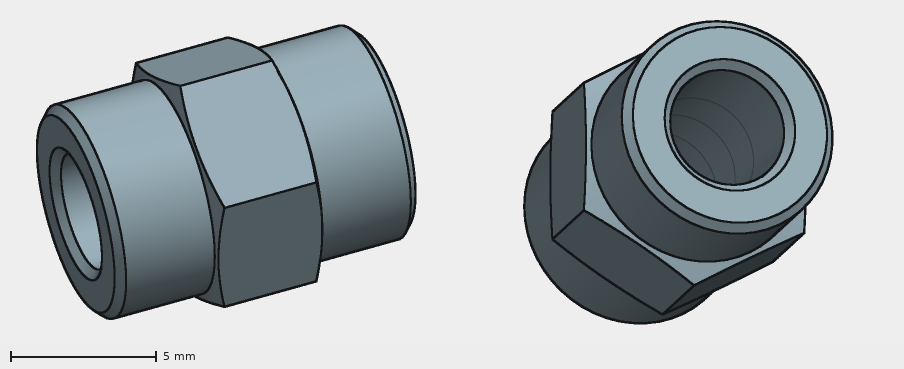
import cadquery as cq
import math

length = 11.2
body_diameter = 7.65
bore_diameter = 4.13
edge_chamfer = 0.3
hex_across_flats = 8.0
hex_length = 4.0
hex_chamfer_angle = 20.0

body_radius = body_diameter / 2
hex_across_corners = hex_across_flats / math.cos(math.radians(30))
hex_corner_radius = hex_across_corners / 2


def cylinder_along_y(diameter, height):
    """Cylinder centred on the origin with its axis along Y."""
    return cq.Workplane("XZ").circle(diameter / 2).extrude(height / 2, both=True)


def hexagon_collar():
    """Hexagon with corners on Z, turned down to cones at both ends."""
    prism = (
        cq.Workplane("XZ")
        .polygon(6, hex_across_corners)
        .extrude(hex_length / 2, both=True)
        .rotate((0, 0, 0), (0, 1, 0), 90)
    )
    half_length = hex_length / 2
    cone_drop = (hex_corner_radius - body_radius) * math.tan(math.radians(hex_chamfer_angle))
    corner_half_length = half_length - cone_drop
    turned_blank = (
        cq.Workplane("XY")
        .moveTo(0, -half_length)
        .lineTo(body_radius, -half_length)
        .lineTo(hex_corner_radius, -corner_half_length)
        .lineTo(hex_corner_radius, corner_half_length)
        .lineTo(body_radius, half_length)
        .lineTo(0, half_length)
        .close()
        .revolve(360, (0, 0), (0, 1))
    )
    return prism.intersect(turned_blank)


body = cylinder_along_y(body_diameter, length).cut(cylinder_along_y(bore_diameter, length))
body = body.faces("<Y or >Y").edges().chamfer(edge_chamfer)

collar = hexagon_collar().cut(cylinder_along_y(bore_diameter, length))
result = body.union(collar)